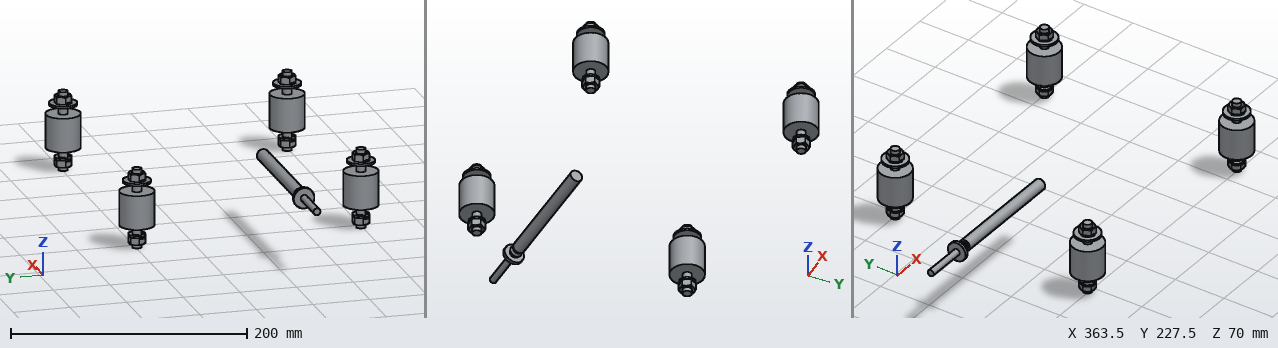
import cadquery as cq
import math

BUFFER_DIAMETER = 30.0
BUFFER_HEIGHT = 30.0
STUD_DIAMETER = 8.0
STUD_LENGTH = 20.0
MOUNT_HEIGHT = BUFFER_HEIGHT + 2 * STUD_LENGTH
MOUNT_SPACING_X = 223.0
MOUNT_SPACING_Y = 197.5

NUT_ACROSS_FLATS = 13.0
NUT_ACROSS_CORNERS = NUT_ACROSS_FLATS / math.cos(math.pi / 6)
NUT_HEIGHT = 6.5
NUT_END_GAP = 3.5
NUT_CHAMFER_HEIGHT = 0.7
NUT_FACE_DIAMETER = 13.0
COUNTERSINK_DIAMETER = 8.7
COUNTERSINK_DEPTH = (COUNTERSINK_DIAMETER - STUD_DIAMETER) / 2

SPRING_WASHER_DIAMETER = 15.0
SPRING_WASHER_STEP = 1.0

WASHER_DIAMETER = 24.0
WASHER_THICKNESS = 1.93

OVERALL_LENGTH = 363.5
TIP_DIAMETER = 6.0
FLANGE_DIAMETER = 18.0
BARB_DIAMETER = 11.0
BARB_END_DIAMETER = 8.7
NECK_DIAMETER = 7.3
TUBE_DIAMETER = 11.0
FLANGE_START = 39.0
FLANGE_THICKNESS = 3.3
FLANGE_END = FLANGE_START + FLANGE_THICKNESS
BARB_PEAK = 45.0
BARB_END = 48.5
TUBE_START = 51.0
ROD_LENGTH = 163.5
ROD_Y = -23.5

MOUNT_TOP = MOUNT_HEIGHT / 2
NUT_OUTER_Z = MOUNT_TOP - NUT_END_GAP
WASHER_OUTER_Z = NUT_OUTER_Z - NUT_HEIGHT
WASHER_INNER_Z = WASHER_OUTER_Z - WASHER_THICKNESS
ROD_Z = (WASHER_OUTER_Z + WASHER_INNER_Z) / 2
FAR_MOUNT_X = OVERALL_LENGTH - BUFFER_DIAMETER / 2
NEAR_MOUNT_X = FAR_MOUNT_X - MOUNT_SPACING_X


def disc(diameter, bottom, height):
    """Upright cylinder on the Z axis."""
    return cq.Workplane("XY", origin=(0, 0, bottom)).circle(diameter / 2).extrude(height)


def make_upper_nut():
    """Hexagon nut with corners toward X, a chamfered outer end and a countersink."""
    hexagon = (
        cq.Workplane("XY", origin=(0, 0, WASHER_OUTER_Z))
        .polygon(6, NUT_ACROSS_CORNERS)
        .extrude(NUT_HEIGHT)
    )
    corner_radius = NUT_ACROSS_CORNERS / 2
    chamfer_envelope = (
        cq.Workplane("XZ")
        .moveTo(0, WASHER_OUTER_Z)
        .lineTo(corner_radius, WASHER_OUTER_Z)
        .lineTo(corner_radius, NUT_OUTER_Z - NUT_CHAMFER_HEIGHT)
        .lineTo(NUT_FACE_DIAMETER / 2, NUT_OUTER_Z)
        .lineTo(0, NUT_OUTER_Z)
        .close()
        .revolve(360, (0, 0, 0), (0, 1, 0))
    )
    countersink = (
        cq.Workplane("XZ")
        .moveTo(STUD_DIAMETER / 2, NUT_OUTER_Z)
        .lineTo(COUNTERSINK_DIAMETER / 2, NUT_OUTER_Z)
        .lineTo(STUD_DIAMETER / 2, NUT_OUTER_Z - COUNTERSINK_DEPTH)
        .close()
        .revolve(360, (0, 0, 0), (0, 1, 0))
    )
    return hexagon.intersect(chamfer_envelope).cut(countersink)


def make_upper_spring_washer():
    """Washer whose -X, -Y quarter is stepped outward, toward the nut."""
    full_disc = disc(SPRING_WASHER_DIAMETER, WASHER_INNER_Z, WASHER_THICKNESS)
    radius = SPRING_WASHER_DIAMETER / 2
    quarter_block = (
        cq.Workplane("XY", origin=(0, 0, WASHER_INNER_Z))
        .rect(-radius, -radius, centered=False)
        .extrude(WASHER_THICKNESS)
    )
    quarter = full_disc.intersect(quarter_block)
    stepped_quarter = quarter.translate((0, 0, SPRING_WASHER_STEP))
    return full_disc.cut(quarter_block).union(stepped_quarter)


def make_mount():
    """Buffer with a stud, spring washer and nut at each end, and a flat washer on top."""
    buffer = disc(BUFFER_DIAMETER, -BUFFER_HEIGHT / 2, BUFFER_HEIGHT)
    stud = disc(STUD_DIAMETER, -MOUNT_TOP, MOUNT_HEIGHT)
    washer = disc(WASHER_DIAMETER, WASHER_INNER_Z, WASHER_THICKNESS)
    upper_nut = make_upper_nut().union(make_upper_spring_washer())
    lower_nut = upper_nut.mirror("XY")
    return buffer.union(stud).union(washer).union(upper_nut).union(lower_nut)


def make_rod():
    """Turned rod: thin tip, flange, double-cone barb, neck and thick tube end."""
    profile = [
        (0, 0),
        (0, TIP_DIAMETER / 2),
        (FLANGE_START, TIP_DIAMETER / 2),
        (FLANGE_START, FLANGE_DIAMETER / 2),
        (FLANGE_END, FLANGE_DIAMETER / 2),
        (FLANGE_END, BARB_END_DIAMETER / 2),
        (BARB_PEAK, BARB_DIAMETER / 2),
        (BARB_END, BARB_END_DIAMETER / 2),
        (BARB_END, NECK_DIAMETER / 2),
        (TUBE_START, NECK_DIAMETER / 2),
        (TUBE_START, TUBE_DIAMETER / 2),
        (ROD_LENGTH, TUBE_DIAMETER / 2),
        (ROD_LENGTH, 0),
    ]
    rod = cq.Workplane("XY").polyline(profile).close().revolve(360, (0, 0, 0), (1, 0, 0))
    return rod.translate((0, ROD_Y, ROD_Z))


mount = make_mount()
mounts = []
for mount_x in (NEAR_MOUNT_X, FAR_MOUNT_X):
    for mount_y in (-MOUNT_SPACING_Y / 2, MOUNT_SPACING_Y / 2):
        mounts.append(mount.translate((mount_x, mount_y, 0)).val())

rod = make_rod()

result = cq.Compound.makeCompound([rod.val(), *mounts])